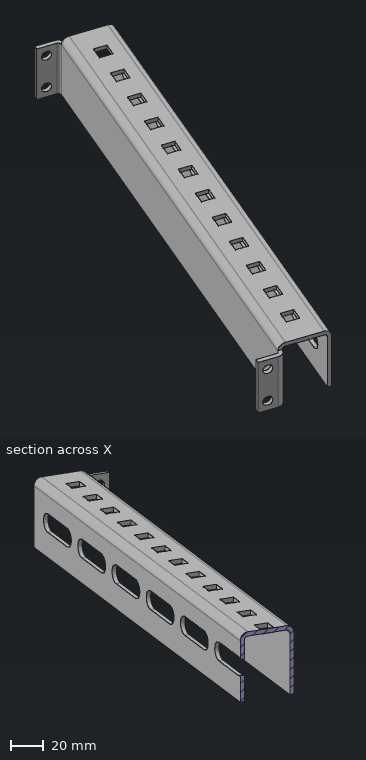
import cadquery as cq

overall_length = 329.0
height = 45.0

sheet = 3.05
channel_length = 318.8
bend_outer = (overall_length - channel_length) / 2
bend_inner = bend_outer - sheet

inside_depth = 30.0
channel_depth = inside_depth + 2 * sheet

tab_height = 40.0
tab_reach = 15.5
tab_hole_count = 2
tab_hole_diameter = 6.5
tab_hole_edge = 6.5
tab_hole_spacing = 25.0

square_count = 12
square_side = 9.0
square_pitch = 25.0

slot_count = square_count // 2
slot_pitch = 2 * square_pitch
slot_length = 40.0
slot_width = 12.0
slot_centre_height = height / 2


def make_channel():
    """Inverted U of bent sheet, centred on x = 0."""
    outer = (
        cq.Workplane("XY")
        .box(channel_length, channel_depth, height, centered=(True, False, False))
        .edges("|X and >Z")
        .fillet(bend_outer)
    )
    inner = (
        cq.Workplane("XY")
        .box(channel_length, inside_depth, height - sheet, centered=(True, False, False))
        .edges("|X and >Z")
        .fillet(bend_inner)
        .translate((0, sheet, 0))
    )
    return outer.cut(inner)


def make_right_tab():
    """Tab that continues the front wall, bends forward and carries two holes."""
    wall_end = channel_length / 2
    outer_face = overall_length / 2
    inner_face = outer_face - sheet
    bend_start = sheet - bend_outer
    tab = (
        cq.Workplane("XY")
        .moveTo(wall_end, sheet)
        .radiusArc((outer_face, bend_start), bend_outer)
        .lineTo(outer_face, -tab_reach)
        .lineTo(inner_face, -tab_reach)
        .lineTo(inner_face, bend_start)
        .radiusArc((wall_end, 0), -bend_inner)
        .close()
        .extrude(tab_height)
    )
    holes = (
        cq.Workplane("YZ", origin=(inner_face, tab_hole_edge - tab_reach, tab_height / 2))
        .rarray(3.3, tab_hole_spacing, 1, tab_hole_count)
        .circle(tab_hole_diameter / 2)
        .extrude(sheet)
    )
    return tab.cut(holes)


def make_square_holes():
    """Cutters for the evenly spaced holes through the top of the channel."""
    return (
        cq.Workplane("XY", origin=(0, channel_depth / 2, height - sheet))
        .rarray(square_pitch, 3.3, square_count, 1)
        .rect(square_side, square_side)
        .extrude(sheet)
    )


def make_back_slots():
    """Cutters for the evenly spaced slots through the back wall."""
    return (
        cq.Workplane("XZ", origin=(0, channel_depth, slot_centre_height))
        .rarray(slot_pitch, 3.3, slot_count, 1)
        .slot2D(slot_length, slot_width)
        .extrude(sheet)
    )


right_tab = make_right_tab()
left_tab = right_tab.mirror("YZ")
channel = make_channel().cut(make_square_holes()).cut(make_back_slots())
result = channel.union(right_tab).union(left_tab)